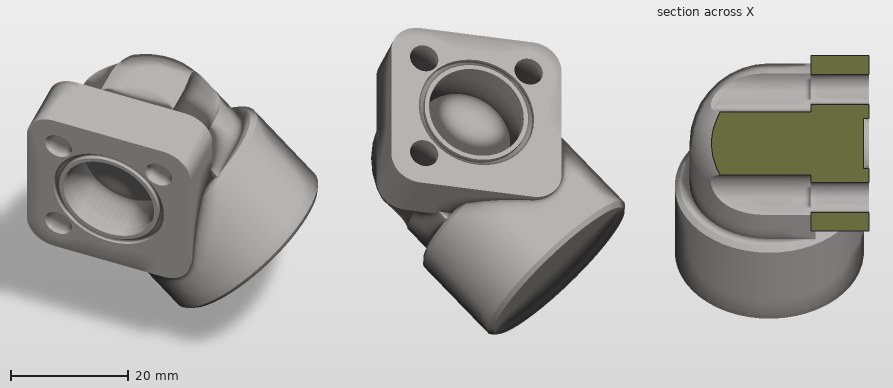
import cadquery as cq

flange_side = 30.0
flange_thickness = 10.0
flange_corner_radius = 5.0
screw_hole_diameter = 5.0
screw_offset = 9.2
screw_head_radius = 3.75

body_radius = 13.6
elbow_depth = 17.0
arm_front_depth = 9.15
outlet_angle = 45

collar_radius = 16.12
collar_start = 9.48
collar_end = 27.0
collar_chamfer = 0.8

bore_radius = 8.35
bore_depth = 9.15
groove_inner_radius = 9.1
groove_outer_radius = 10.15
groove_depth = 1.0

screw_centers = [
    (-screw_offset, screw_offset),
    (screw_offset, screw_offset),
    (-screw_offset, -screw_offset),
]


def cylinder_along_y(radius, start, end, center=(0, 0)):
    """Cylinder between two depths behind the front face, centred at (x, z)."""
    x, z = center
    base = cq.Vector(x, start, z)
    return cq.Workplane(cq.Solid.makeCylinder(radius, end - start, base, cq.Vector(0, 1, 0)))


def make_flange():
    flange = cq.Workplane("XY").box(flange_side, flange_thickness, flange_side)
    flange = flange.edges("|Y").fillet(flange_corner_radius)
    return flange.translate((0, flange_thickness / 2, 0))


def make_outlet():
    """Arm and collar, made along +X and then swung down to the outlet angle."""
    arm = (
        cq.Workplane("YZ")
        .moveTo(arm_front_depth, -body_radius)
        .lineTo(elbow_depth, -body_radius)
        .threePointArc((elbow_depth + body_radius, 0), (elbow_depth, body_radius))
        .lineTo(arm_front_depth, body_radius)
        .close()
        .extrude(collar_start)
    )
    collar = (
        cq.Workplane("YZ", origin=(collar_start, elbow_depth, 0))
        .circle(collar_radius)
        .extrude(collar_end - collar_start)
        .edges()
        .chamfer(collar_chamfer)
    )
    return arm.union(collar).rotate((0, 0, 0), (0, 1, 0), outlet_angle)


def make_body():
    dome = cq.Workplane("XY").sphere(body_radius).translate((0, elbow_depth, 0))
    barrel = cylinder_along_y(body_radius, flange_thickness, elbow_depth)
    return barrel.union(dome).union(make_outlet())


def cut_screw_clearance(body):
    """Clear the screw heads from the flange's rear face through the dome."""
    for center in screw_centers:
        body = body.cut(
            cylinder_along_y(screw_head_radius, flange_thickness, elbow_depth + body_radius, center)
        )
    return body


def cut_front_openings(part):
    for center in screw_centers:
        part = part.cut(cylinder_along_y(screw_hole_diameter / 2, 0, flange_thickness, center))
    groove = cylinder_along_y(groove_outer_radius, 0, groove_depth).cut(
        cylinder_along_y(groove_inner_radius, 0, groove_depth)
    )
    bore = cylinder_along_y(bore_radius, 0, bore_depth)
    return part.cut(groove).cut(bore)


result = cut_front_openings(make_flange().union(cut_screw_clearance(make_body())))